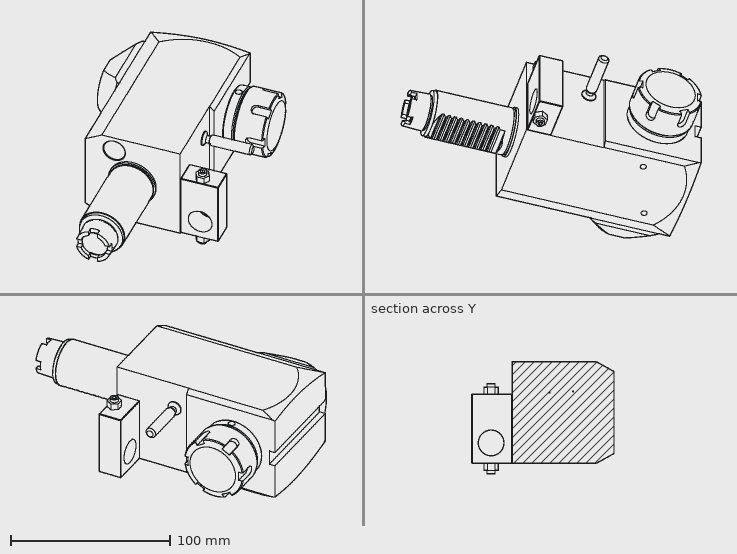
import cadquery as cq
import math


BODY_HALF = 32.0
BODY_LENGTH = 114.0
SIDE_CHAMFER_X = 11.2
SIDE_CHAMFER_Z = 6.2
PLATE_THICKNESS = 3.2
PLATE_LENGTH = 63.0
PLATE_CHAMFER = 3.0
SLOT_WIDTH = 10.0
SLOT_DEPTH = 4.0
DISC_X, DISC_Z = -12.4, 21.8
DISC_RADIUS = 7.2
DISC_DEPTH = 0.5
DISC_CHAMFER = 0.4

RELIEF_X = 8.5
RELIEF_Y = BODY_LENGTH - 48.4
RELIEF_RADIUS = 45.0
RELIEF_SLOPE = 3.0

SPINDLE_Y = BODY_LENGTH - 29.0
CAP_RADIUS = 32.0
CAP_FACE_RADIUS = 16.5
CAP_FLANGE = 2.75
CAP_FLAT_LENGTH = 5.5
CAP_HALF_HEIGHT = 23.0
CAP_FACE_HALF_HEIGHT = 15.7
CAP_BACK = 24.5
CAP_CORNER = 2.2
COLLAR_RADIUS = 20.0
COLLAR_END_X = 42.1
COLLAR_CHAMFER = 0.7
COLLAR_HOLE_RADIUS = 2.2
COLLAR_HOLE_DEPTH = 4.0
NECK_RADIUS = 16.4
NUT_RADIUS = 21.0
NUT_START_X = 43.2
NUT_END_X = 63.8
NUT_CHAMFER = 0.6
NUT_RIM_LENGTH = 1.2
NUT_RIM_RADIUS = 18.0
NUT_FACE_RADIUS = 16.2
NUT_SLOT_COUNT = 6
NUT_SLOT_WIDTH = 6.0
NUT_SLOT_LENGTH = 12.6
NUT_SLOT_FLOOR = 18.0

COLLAR_RING_RADIUS = 15.9
COLLAR_RING_LENGTH = 1.5
SHANK_RADIUS = 15.2
SHANK_RELIEF_RADIUS = 14.8
SHANK_START = 2.7
SHANK_END = 53.0
SHOULDER_RADIUS = 14.6
SHOULDER_END = 55.2
GROOVE_RADIUS = 11.2
GROOVE_END = 56.3
TIP_RADIUS = 11.95
DRIVE_RADIUS = 11.5
DRIVE_END = 69.0
DRIVE_SLOT_WIDTH = 6.0
DRIVE_SLOT_DEPTH = 3.4
DRIVE_BORE_RADIUS = 8.6
DRIVE_BORE_DEPTH = 2.8

RACK_START = 7.2
RACK_LAND_CHAMFER = 0.8
RACK_ROOT = 10.5
RACK_TIP = 11.6
RACK_PITCH = 4.0
RACK_GAP_FIRST = 12.0
RACK_GAP_COUNT = 10
RACK_GAP_ROOT_WIDTH = 1.2
RACK_RAMP_START = 49.0

PIN_Y, PIN_Z = 41.0, 13.9
PIN_RADIUS = 3.4
PIN_START_X = 38.0
PIN_END_X = 65.13
PIN_CHAMFER = 1.2
PIN_NECK_RADIUS = 2.4
PIN_NECK_START_X = 34.2
PIN_NECK_END_X = 36.7
PIN_LEAD_RADIUS = 3.0
PIN_BASE_RADIUS = 4.6
PIN_BASE_LENGTH = 0.6

BLOCK_END_X = 57.4
BLOCK_START_Y, BLOCK_END_Y = 0.6, 16.2
BLOCK_TOP = 11.7
BLOCK_CHAMFER = 0.4
BORE_X, BORE_Z = 45.2, -19.1
BORE_RADIUS = 8.0
SCREW_Y = 5.0
HEX_NUT_FLATS = 8.0
HEX_NUT_HEIGHT = 4.3
STUD_RADIUS = 2.6
STUD_HEIGHT = 6.5
SOCKET_FLATS = 2.5
SOCKET_DEPTH = 2.0

POINT_PLACES = [(-12.9, 91.3), (24.1, 79.3)]
POINT_RADIUS = 1.9
POINT_HEIGHT = 1.6

EMBED = 1.0
MARGIN = 10.0


def box(x0, x1, y0, y1, z0, z1):
    """Axis-aligned box between two corners."""
    return cq.Workplane("XY").box(x1 - x0, y1 - y0, z1 - z0, centered=False).translate((x0, y0, z0))


def revolve_x(points, y, z):
    """Turn an (x, radius) outline about an axis parallel to X."""
    turned = cq.Workplane("XY").polyline(points).close().revolve(360, (0, 0), (1, 0))
    return turned.translate((0, y, z))


def make_body():
    h = BODY_HALF
    body = (
        cq.Workplane("XZ")
        .moveTo(h, -h)
        .lineTo(h, h)
        .lineTo(SIDE_CHAMFER_X - h, h)
        .lineTo(-h, h - SIDE_CHAMFER_Z)
        .lineTo(-h, SIDE_CHAMFER_Z - h)
        .lineTo(SIDE_CHAMFER_X - h, -h)
        .close()
        .extrude(-BODY_LENGTH)
    )
    plate = box(h - EMBED, h + PLATE_THICKNESS, BODY_LENGTH - PLATE_LENGTH, BODY_LENGTH, -h, h)
    plate = plate.edges("|Y and >X").chamfer(PLATE_CHAMFER)
    return body.union(plate)


def relieve_back(body):
    """Keep only what lies inside the two relief cones at the back of the body."""
    base_radius = RELIEF_RADIUS + RELIEF_SLOPE * BODY_HALF
    double_cone = (
        cq.Workplane("XZ")
        .polyline([
            (0, -BODY_HALF),
            (RELIEF_RADIUS, -BODY_HALF),
            (base_radius, 0),
            (RELIEF_RADIUS, BODY_HALF),
            (0, BODY_HALF),
        ])
        .close()
        .revolve(360, (0, 0), (0, 1))
        .translate((RELIEF_X, RELIEF_Y, 0))
    )
    reach = 2 * BODY_LENGTH
    back_half = box(-reach, reach, RELIEF_Y, reach, -BODY_HALF, BODY_HALF)
    return body.cut(back_half.cut(double_cone))


def cut_body_details(body):
    reach = BODY_HALF + MARGIN
    slot = box(-reach, reach, BODY_LENGTH - SLOT_DEPTH, BODY_LENGTH + MARGIN, -SLOT_WIDTH / 2, SLOT_WIDTH / 2)
    disc = cq.Workplane("XZ").center(DISC_X, DISC_Z).circle(DISC_RADIUS).extrude(-DISC_DEPTH)
    rim = cq.Solid.makeCone(
        DISC_RADIUS + DISC_CHAMFER, DISC_RADIUS, DISC_CHAMFER,
        cq.Vector(DISC_X, 0, DISC_Z), cq.Vector(0, 1, 0),
    )
    return body.cut(slot).cut(disc).cut(cq.Workplane(rim))


def make_cap():
    flange_x = -BODY_HALF - CAP_FLANGE
    face_x = flange_x - (CAP_RADIUS - CAP_FACE_RADIUS)
    flat_x = -BODY_HALF - CAP_FLAT_LENGTH
    cone = revolve_x(
        [
            (EMBED - BODY_HALF, 0),
            (EMBED - BODY_HALF, CAP_RADIUS),
            (flange_x, CAP_RADIUS),
            (face_x, CAP_FACE_RADIUS),
            (face_x, 0),
        ],
        SPINDLE_Y, 0,
    )
    envelope = (
        cq.Workplane("XZ")
        .polyline([
            (-BODY_HALF + EMBED, -CAP_HALF_HEIGHT),
            (flat_x, -CAP_HALF_HEIGHT),
            (face_x, -CAP_FACE_HALF_HEIGHT),
            (face_x, CAP_FACE_HALF_HEIGHT),
            (flat_x, CAP_HALF_HEIGHT),
            (-BODY_HALF + EMBED, CAP_HALF_HEIGHT),
        ])
        .close()
        .extrude(CAP_RADIUS + CAP_BACK)
        .translate((0, SPINDLE_Y + CAP_BACK, 0))
    )
    rounded = box(
        face_x, EMBED - BODY_HALF,
        SPINDLE_Y - CAP_RADIUS, SPINDLE_Y + CAP_BACK,
        -CAP_HALF_HEIGHT, CAP_HALF_HEIGHT,
    )
    rounded = rounded.edges("|X and >Y").fillet(CAP_CORNER)
    return cone.intersect(envelope).intersect(rounded)


def make_collar():
    start_x = BODY_HALF + PLATE_THICKNESS
    small = COLLAR_RADIUS - COLLAR_CHAMFER
    collar = revolve_x(
        [
            (start_x - EMBED, 0),
            (start_x - EMBED, small),
            (start_x, small),
            (start_x + COLLAR_CHAMFER, COLLAR_RADIUS),
            (COLLAR_END_X - COLLAR_CHAMFER, COLLAR_RADIUS),
            (COLLAR_END_X, small),
            (COLLAR_END_X, NECK_RADIUS),
            (NUT_START_X + EMBED, NECK_RADIUS),
            (NUT_START_X + EMBED, 0),
        ],
        SPINDLE_Y, 0,
    )
    hole = (
        cq.Workplane("XY")
        .circle(COLLAR_HOLE_RADIUS)
        .extrude(COLLAR_HOLE_DEPTH + MARGIN)
        .translate(((start_x + COLLAR_END_X) / 2, SPINDLE_Y, COLLAR_RADIUS - COLLAR_HOLE_DEPTH))
    )
    return collar.cut(hole)


def make_collet_nut():
    rim_x = NUT_END_X - NUT_RIM_LENGTH
    nut = revolve_x(
        [
            (NUT_START_X, 0),
            (NUT_START_X, NUT_RADIUS - NUT_CHAMFER),
            (NUT_START_X + NUT_CHAMFER, NUT_RADIUS),
            (rim_x - NUT_CHAMFER, NUT_RADIUS),
            (rim_x, NUT_RADIUS - NUT_CHAMFER),
            ((rim_x + NUT_END_X) / 2, NUT_RIM_RADIUS),
            (NUT_END_X, NUT_FACE_RADIUS),
            (NUT_END_X, 0),
        ],
        SPINDLE_Y, 0,
    )
    half = NUT_SLOT_WIDTH / 2
    slot_x = NUT_END_X - NUT_SLOT_LENGTH
    slot = (
        cq.Workplane("XY")
        .moveTo(NUT_END_X + MARGIN, -half)
        .lineTo(slot_x + half, -half)
        .threePointArc((slot_x, 0), (slot_x + half, half))
        .lineTo(NUT_END_X + MARGIN, half)
        .close()
        .extrude(MARGIN)
        .translate((0, 0, NUT_SLOT_FLOOR))
    )
    pitch = 360.0 / NUT_SLOT_COUNT
    for index in range(NUT_SLOT_COUNT):
        turned = slot.rotate((0, 0, 0), (1, 0, 0), (index + 0.5) * pitch)
        nut = nut.cut(turned.translate((0, SPINDLE_Y, 0)))
    return nut


def make_shank():
    outline = [
        (0, EMBED),
        (COLLAR_RING_RADIUS, EMBED),
        (COLLAR_RING_RADIUS, -COLLAR_RING_LENGTH),
        (SHANK_RELIEF_RADIUS, -COLLAR_RING_LENGTH),
        (SHANK_RELIEF_RADIUS, -SHANK_START),
        (SHANK_RADIUS, -SHANK_START),
        (SHANK_RADIUS, -SHANK_END),
        (SHOULDER_RADIUS, -SHANK_END),
        (SHOULDER_RADIUS, -SHOULDER_END),
        (GROOVE_RADIUS, -SHOULDER_END),
        (GROOVE_RADIUS, -GROOVE_END),
        (TIP_RADIUS, -GROOVE_END),
        (DRIVE_RADIUS, -DRIVE_END),
        (0, -DRIVE_END),
    ]
    return cq.Workplane("XY").polyline(outline).close().revolve(360, (0, 0), (0, 1))


def cut_rack(shank):
    """Flat with trapezoidal tooth gaps, running out at 45 degrees near the shank end."""
    depth = RACK_TIP - RACK_ROOT
    below = SHANK_RADIUS + MARGIN
    flat_end = RACK_RAMP_START + depth
    profile = [
        (-RACK_START, -RACK_TIP),
        (-flat_end, -RACK_TIP),
        (-(flat_end + below - RACK_TIP), -below),
        (-RACK_START, -below),
        (RACK_LAND_CHAMFER - RACK_START, -SHANK_RADIUS),
        (-RACK_START, RACK_LAND_CHAMFER - SHANK_RADIUS),
    ]
    rack = cq.Workplane("YZ").polyline(profile).close().extrude(SHANK_RADIUS, both=True)
    half_root = RACK_GAP_ROOT_WIDTH / 2
    half_mouth = half_root + depth
    for index in range(RACK_GAP_COUNT):
        centre = -(RACK_GAP_FIRST + index * RACK_PITCH)
        gap = [
            (centre - half_mouth, -RACK_TIP),
            (centre - half_root, -RACK_ROOT),
            (centre + half_root, -RACK_ROOT),
            (centre + half_mouth, -RACK_TIP),
        ]
        rack = rack.union(cq.Workplane("YZ").polyline(gap).close().extrude(SHANK_RADIUS, both=True))
    return shank.cut(rack)


def cut_drive_end(shank):
    """End recess and the crossed slots that leave four driving claws."""
    end = -DRIVE_END
    half = DRIVE_SLOT_WIDTH / 2
    bore = cq.Workplane("XZ").circle(DRIVE_BORE_RADIUS).extrude(DRIVE_BORE_DEPTH)
    shank = shank.cut(bore.translate((0, end + DRIVE_BORE_DEPTH, 0)))
    slot = box(-TIP_RADIUS, TIP_RADIUS, end, end + DRIVE_SLOT_DEPTH, -half, half)
    crossed = slot.rotate((0, 0, 0), (0, 1, 0), 90)
    core = cq.Workplane("XZ").circle(DRIVE_BORE_RADIUS).extrude(DRIVE_END)
    return shank.cut(slot.union(crossed).cut(core))


def make_pin():
    return revolve_x(
        [
            (BODY_HALF - EMBED, 0),
            (BODY_HALF - EMBED, PIN_BASE_RADIUS),
            (BODY_HALF + PIN_BASE_LENGTH, PIN_BASE_RADIUS),
            (PIN_NECK_START_X, PIN_NECK_RADIUS),
            (PIN_NECK_END_X, PIN_NECK_RADIUS),
            (PIN_NECK_END_X, PIN_LEAD_RADIUS),
            (PIN_START_X, PIN_RADIUS),
            (PIN_END_X - PIN_CHAMFER, PIN_RADIUS),
            (PIN_END_X, PIN_RADIUS - PIN_CHAMFER),
            (PIN_END_X, 0),
        ],
        PIN_Y, PIN_Z,
    )


def make_screw():
    """Nut and stud standing up from Z = 0, with a hexagon socket in the stud."""
    nut_corners = HEX_NUT_FLATS / math.cos(math.pi / 6)
    socket_corners = SOCKET_FLATS / math.cos(math.pi / 6)
    nut = cq.Workplane("XY").polygon(6, nut_corners).extrude(HEX_NUT_HEIGHT + EMBED)
    stud = cq.Workplane("XY").circle(STUD_RADIUS).extrude(STUD_HEIGHT + EMBED)
    socket = cq.Workplane("XY").polygon(6, socket_corners).extrude(SOCKET_DEPTH)
    socket = socket.translate((0, 0, STUD_HEIGHT + EMBED - SOCKET_DEPTH))
    return nut.union(stud).cut(socket).translate((0, 0, -EMBED))


def make_coolant_block():
    block = box(BODY_HALF, BLOCK_END_X, BLOCK_START_Y, BLOCK_END_Y, -BODY_HALF, BLOCK_TOP)
    block = block.edges().chamfer(BLOCK_CHAMFER)
    bore = cq.Workplane("XZ").center(BORE_X, BORE_Z).circle(BORE_RADIUS).extrude(-BLOCK_END_Y - MARGIN)
    screw = make_screw()
    upper = screw.translate((BORE_X, SCREW_Y, BLOCK_TOP))
    lower = screw.rotate((0, 0, 0), (1, 0, 0), 180).translate((BORE_X, SCREW_Y, -BODY_HALF))
    return block.cut(bore).union(upper).union(lower)


def make_point(x, y):
    """Conical screw tip below the body."""
    cone = cq.Solid.makeCone(
        POINT_RADIUS, 0, POINT_HEIGHT,
        cq.Vector(x, y, -BODY_HALF), cq.Vector(0, 0, -1),
    )
    root = cq.Workplane("XY").circle(POINT_RADIUS).extrude(EMBED).translate((x, y, -BODY_HALF))
    return root.union(cq.Workplane(cone))


result = cut_body_details(relieve_back(make_body()))
result = result.union(make_cap())
result = result.union(make_collar()).union(make_collet_nut())
result = result.union(cut_drive_end(cut_rack(make_shank())))
result = result.union(make_pin())
result = result.union(make_coolant_block())
for point_x, point_y in POINT_PLACES:
    result = result.union(make_point(point_x, point_y))